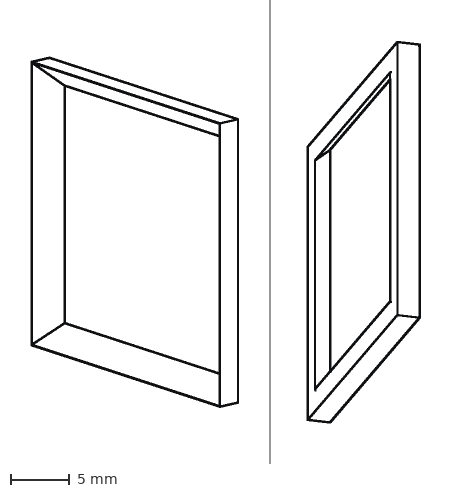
import cadquery as cq

outer_side = 25.1
depth = 2.0
front_rim = 0.05
back_opening = 21.0

front_opening = outer_side - 2 * front_rim

frame = cq.Workplane("XZ").rect(outer_side, outer_side).extrude(-depth)
opening = (
    cq.Workplane("XZ")
    .rect(front_opening, front_opening)
    .workplane(offset=-depth)
    .rect(back_opening, back_opening)
    .loft(ruled=True)
)

result = frame.cut(opening)